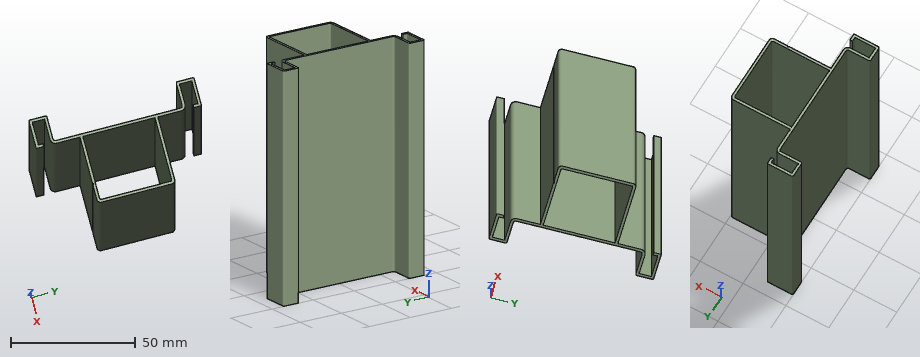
import cadquery as cq
LENGTH = 100.0
DEPTH = 40.0
WIDTH = 68.8

SHEET = 1.2
CHANNEL_DEPTH = 12.0
CHANNEL_WIDTH = 7.5
LIP_LENGTH = 3.2
CHANNEL_RADIUS = 0.7
LIP_OUTER_RADIUS = 0.2
LIP_INNER_RADIUS = 0.3
BEND_OUTER_RADIUS = 2.2
BEND_INNER_RADIUS = BEND_OUTER_RADIUS - SHEET

TUBE_WALL = 1.2
TUBE_WIDTH = 32.4
TUBE_OUTER_RADIUS = 1.5
TUBE_INNER_RADIUS = 0.7

GROOVE_WIDTH = 0.6
GROOVE_DEPTH = 0.3
GROOVE_CENTRE_X = 31.9

HALF_WIDTH = WIDTH / 2
WEB_INNER_X = CHANNEL_DEPTH - SHEET
CHANNEL_INNER_Y = HALF_WIDTH - CHANNEL_WIDTH


def bar(x_min, x_max, y_min, y_max):
    """Full-length rectangular bar between the given X and Y limits."""
    return (
        cq.Workplane("XY")
        .box(x_max - x_min, y_max - y_min, LENGTH, centered=False)
        .translate((x_min, y_min, 0))
    )


def round_edge(body, x, y, radius):
    """Round the lengthwise edge that passes through (x, y)."""
    nearest = cq.selectors.NearestToPointSelector((x, y, LENGTH / 2))
    return body.edges("|Z").edges(nearest).fillet(radius)


def make_hooked_half():
    """+Y half of the web, with its channel and lip."""
    cavity_y_min = CHANNEL_INNER_Y + SHEET
    cavity_y_max = HALF_WIDTH - SHEET
    half = (
        bar(WEB_INNER_X, CHANNEL_DEPTH, 0, cavity_y_min)
        .union(bar(0, CHANNEL_DEPTH, CHANNEL_INNER_Y, cavity_y_min))
        .union(bar(0, SHEET, CHANNEL_INNER_Y, HALF_WIDTH))
        .union(bar(0, CHANNEL_DEPTH, cavity_y_max, HALF_WIDTH))
        .union(bar(WEB_INNER_X, CHANNEL_DEPTH, HALF_WIDTH - LIP_LENGTH, HALF_WIDTH))
        .clean()
    )
    corners = [
        (0, CHANNEL_INNER_Y, CHANNEL_RADIUS),
        (0, HALF_WIDTH, CHANNEL_RADIUS),
        (CHANNEL_DEPTH, HALF_WIDTH, LIP_OUTER_RADIUS),
        (WEB_INNER_X, cavity_y_max, LIP_INNER_RADIUS),
        (CHANNEL_DEPTH, cavity_y_min, BEND_OUTER_RADIUS),
        (WEB_INNER_X, CHANNEL_INNER_Y, BEND_INNER_RADIUS),
    ]
    for x, y, radius in corners:
        half = round_edge(half, x, y, radius)
    return half


def make_tube():
    """Three tube walls that close against the web."""
    outer_y = TUBE_WIDTH / 2
    inner_y = outer_y - TUBE_WALL
    shell = bar(WEB_INNER_X, DEPTH, -outer_y, outer_y)
    shell = shell.edges("|Z and >X").fillet(TUBE_OUTER_RADIUS)
    cavity = bar(WEB_INNER_X, DEPTH - TUBE_WALL, -inner_y, inner_y)
    cavity = cavity.edges("|Z and >X").fillet(TUBE_INNER_RADIUS)
    return shell.cut(cavity)


def make_groove():
    """Round-bottomed cutter for the line along the -Y side of the tube."""
    surface_y = -TUBE_WIDTH / 2
    return (
        cq.Workplane("XY")
        .moveTo(GROOVE_CENTRE_X - GROOVE_WIDTH / 2, surface_y)
        .threePointArc(
            (GROOVE_CENTRE_X, surface_y + GROOVE_DEPTH),
            (GROOVE_CENTRE_X + GROOVE_WIDTH / 2, surface_y),
        )
        .close()
        .extrude(LENGTH)
    )


hooked_half = make_hooked_half()
web = hooked_half.union(hooked_half.mirror("XZ"))
result = web.union(make_tube()).clean().cut(make_groove())